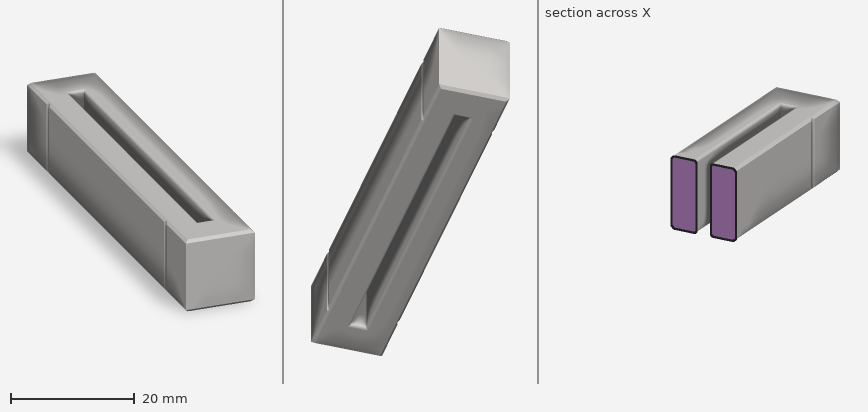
import cadquery as cq

LENGTH = 69.0
WIDTH = 12.0
HEIGHT = 12.7
EDGE_CHAMFER = 0.5

SLOT_LENGTH = 56.0
SLOT_WIDTH = 2.6
SLOT_ROUNDING = 0.5

GROOVE_SPACING = 50.9
GROOVE_WIDTH = 1.1
GROOVE_DEPTH = 0.3
GROOVE_RADIUS = ((GROOVE_WIDTH / 2) ** 2 + GROOVE_DEPTH ** 2) / (2 * GROOVE_DEPTH)


def make_bar():
    """Bar with chamfers around its top and bottom faces."""
    return cq.Workplane("XY").box(LENGTH, WIDTH, HEIGHT).faces("<Z or >Z").chamfer(EDGE_CHAMFER)


def cut_slot(body):
    """Through slot with its top and bottom rims rounded over."""
    slotted = body.cut(cq.Workplane("XY").box(SLOT_LENGTH, SLOT_WIDTH, HEIGHT))
    reach_x = (SLOT_LENGTH + LENGTH) / 4
    rims = slotted.faces("<Z or >Z").edges(
        cq.selectors.BoxSelector(
            (-reach_x, -SLOT_WIDTH, -HEIGHT),
            (reach_x, SLOT_WIDTH, HEIGHT),
        )
    )
    return rims.fillet(SLOT_ROUNDING)


def make_groove_cutters():
    """Four upright cylinders, each dipping into a long face by the groove depth."""
    axis_y = WIDTH / 2 - GROOVE_DEPTH + GROOVE_RADIUS
    return (
        cq.Workplane("XY")
        .rect(GROOVE_SPACING, 2 * axis_y, forConstruction=True)
        .vertices()
        .circle(GROOVE_RADIUS)
        .extrude(HEIGHT / 2, both=True)
    )


bar = cut_slot(make_bar()).cut(make_groove_cutters())

result = cq.Compound.makeCompound([bar.val()])